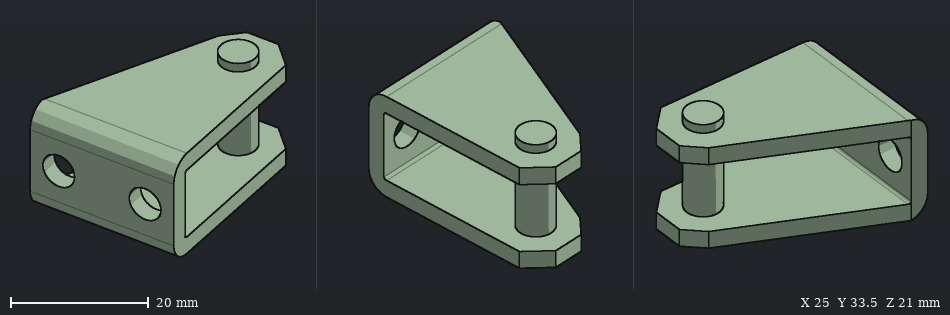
import cadquery as cq

width = 25.0
length = 33.5
bracket_height = 18.0
thickness = 3.0
inner_bend_radius = 0.47
outer_bend_radius = inner_bend_radius + thickness

tip_left = 15.78
tip_right = 21.25
left_corner_cut = 3.0
right_corner_cut = width - tip_right
taper_start_y = thickness

pin_diameter = 6.0
pin_length = 21.0
pin_x = 18.5
pin_y = 27.0

hole_diameter = 5.5
hole_spacing = 15.0
first_hole_x = 5.0


def make_channel():
    """U section open toward +Y, with rounded bends, running along X."""
    outer = (
        cq.Workplane("XY")
        .box(width, length, bracket_height, centered=(False, False, True))
        .edges("|X and <Y")
        .fillet(outer_bend_radius)
    )
    gap = (
        cq.Workplane("XY")
        .box(width, length - thickness, bracket_height - 2 * thickness, centered=(False, False, True))
        .translate((0, thickness, 0))
        .edges("|X and <Y")
        .fillet(inner_bend_radius)
    )
    return outer.cut(gap)


def make_arm_outline():
    """Prism along Z that gives the arms their taper and cut corners."""
    return (
        cq.Workplane("XY")
        .polyline([
            (0, 0),
            (width, 0),
            (width, length - right_corner_cut),
            (tip_right, length),
            (tip_left, length),
            (tip_left - left_corner_cut, length - left_corner_cut),
            (0, taper_start_y),
        ])
        .close()
        .extrude(bracket_height / 2, both=True)
    )


def make_mounting_holes():
    """Cylinders through the base only, along Y."""
    return (
        cq.Workplane("XZ")
        .pushPoints([(first_hole_x, 0), (first_hole_x + hole_spacing, 0)])
        .circle(hole_diameter / 2)
        .extrude(-thickness)
    )


def make_pin():
    """Cross pin through both arms, protruding equally above and below."""
    return (
        cq.Workplane("XY")
        .center(pin_x, pin_y)
        .circle(pin_diameter / 2)
        .extrude(pin_length / 2, both=True)
    )


bracket = make_channel().intersect(make_arm_outline()).cut(make_mounting_holes())
result = bracket.union(make_pin())